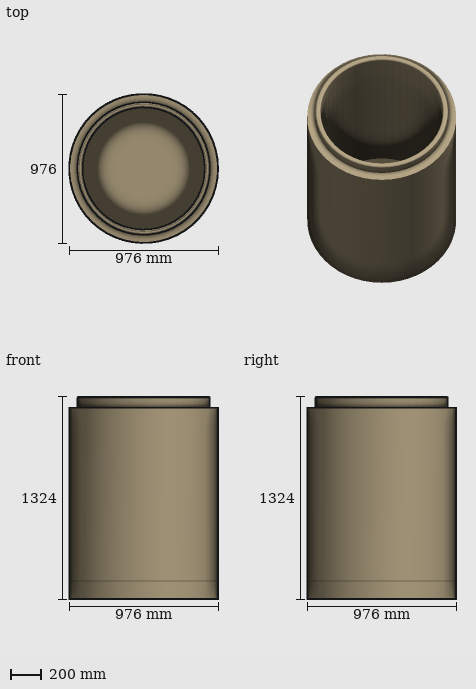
import cadquery as cq

outer_radius = 488.0
total_height = 1324.0
base_height = 121.0

spigot_radius = 434.0
spigot_height = 70.0
shoulder_z = total_height - spigot_height

bore_radius = 400.0

rim_rounding = 10.0


def make_base():
    """Solid disc that closes the bottom of the barrel."""
    return cq.Workplane("XY").circle(outer_radius).extrude(base_height)


def make_barrel():
    """Thick tube from the base up to the shoulder."""
    return (
        cq.Workplane("XY", origin=(0, 0, base_height))
        .circle(outer_radius)
        .circle(bore_radius)
        .extrude(shoulder_z - base_height)
    )


def make_spigot():
    """Thinner tube above the shoulder, with both edges of its rim rounded."""
    return (
        cq.Workplane("XY", origin=(0, 0, shoulder_z))
        .circle(spigot_radius)
        .circle(bore_radius)
        .extrude(spigot_height)
        .faces(">Z")
        .edges()
        .fillet(rim_rounding)
    )


result = make_base().union(make_barrel(), clean=False).union(make_spigot(), clean=False)